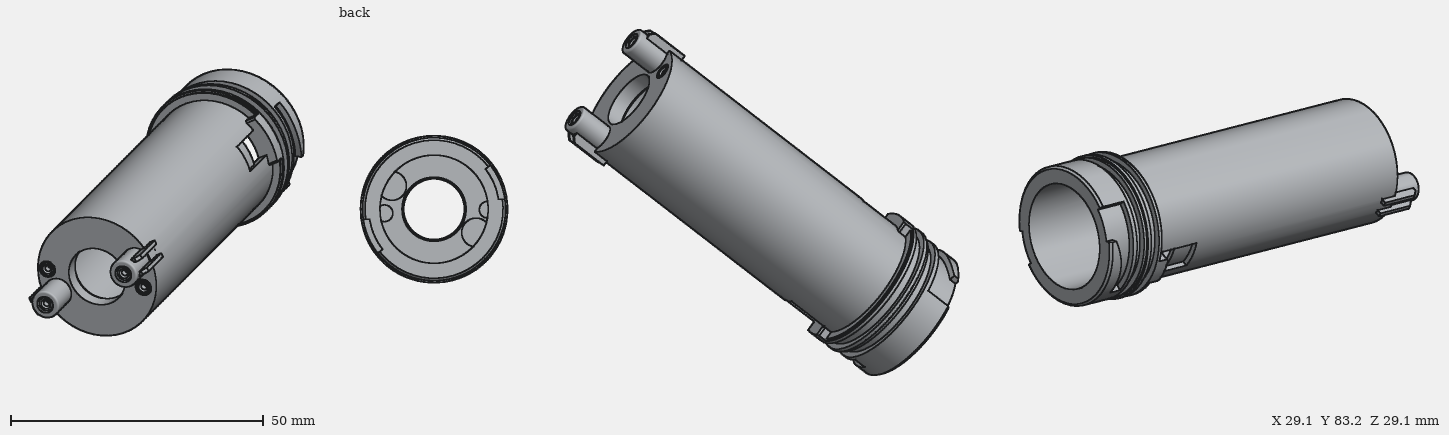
import cadquery as cq
import math


TUBE_RADIUS = 12.6
CAVITY_RADIUS = 10.7
BORE_RADIUS = 6.0
FLANGE_RADIUS = 14.15
RING_RADIUS = 14.55
REAR_GROOVE_RADIUS = 12.9
SEAL_GROOVE_RADIUS = 13.3
CLEAR_RADIUS = RING_RADIUS + 1
REAR_CHAMFER = 0.5

FLANGE_END = 6.8
REAR_GROOVE_END = 8.65
RING_1_START = 9.35
RING_1_END = 10.2
RING_2_START = 12.2
RING_2_END = 12.95
COLLAR_END = 13.3
TUBE_END = 76.2
END_PLATE_THICKNESS = 3.7
PLATE_START = TUBE_END - END_PLATE_THICKNESS
BORE_CHAMFER = 0.35

KEY_ANGLE = 30.0
OPPOSITE_ANGLE = KEY_ANGLE + 180.0

BAYONET_FROM = -38.0
BAYONET_TO = 44.5
BAYONET_END = 5.85
LUG_TIP_Z = -2.0
LUG_TIP_END = 1.5
LUG_RAMP_MIDDLE_Z = 2.8
LUG_RAMP_MIDDLE_END = 2.9
LUG_RAMP_END_Z = 6.9
LUG_END = 3.3

WIDE_KEY_WIDTH = 10.1
NARROW_KEY_WIDTH = 6.0
KEY_END = 15.3
KEY_CHAMFER = 0.4

WIDE_KEY_WINDOW_WIDTH = 5.6
NARROW_KEY_WINDOW_WIDTH = 6.2
WINDOW_STEP = 19.4
WINDOW_END = 24.1
WINDOW_FLOOR_RADIUS = 11.5

PIN_ANGLE = 29.0
PIN_CIRCLE_RADIUS = 9.5
PIN_RADIUS = 2.85
PIN_END = 83.2
PIN_FILLET = 0.4
SOCKET_RADIUS = 1.7
SOCKET_DEPTH = 0.4
SOCKET_CHAMFER = 0.3
RIB_START = PLATE_START + BORE_CHAMFER
RIB_WIDTH = 0.85
RIB_SPACING = 2.9
RIB_OUTER = 13.5
RIB_END = 81.6
RIB_CHAMFER = 1.0

CONTACT_RADIUS = 1.65
CONTACT_CHAMFER = 0.3
CONTACT_CENTRES = [(-10.6, -0.1), (9.8, -0.8)]

HOLE_RADIUS = 0.6
HOLE_DEPTH = 2.0
COUNTERSINK = 0.4
COUNTERSINK_TAPER = 45.0


def at_station(station):
    """Sketch plane across the axis: local x is X, local y is Z, extrusion runs toward -Y."""
    return cq.Workplane("XZ", origin=(0, -station, 0))


def turn(body, angle):
    """Rotate about the housing axis, from +X toward +Z."""
    return body.rotate((0, 0, 0), (0, -1, 0), angle)


def disc(radius, start, end, centre=(0, 0)):
    return at_station(start).center(*centre).circle(radius).extrude(end - start)


def radial_block(inner, outer, width, start, end, offset=0.0):
    """Block that reaches along +X from inner to outer, centred on Z = offset."""
    middle = (inner + outer) / 2
    return at_station(start).center(middle, offset).rect(outer - inner, width).extrude(end - start)


def turned_housing():
    """Hollow turned body; in front of the second ring it stays at ring radius until relieved."""
    steps_after_flange = [
        (REAR_GROOVE_RADIUS, REAR_GROOVE_END),
        (FLANGE_RADIUS, RING_1_START),
        (RING_RADIUS, RING_1_END),
        (SEAL_GROOVE_RADIUS, RING_2_START),
        (RING_RADIUS, TUBE_END),
    ]
    profile = cq.Workplane("XY").moveTo(CAVITY_RADIUS, 0)
    profile = profile.lineTo(FLANGE_RADIUS - REAR_CHAMFER, 0)
    profile = profile.lineTo(FLANGE_RADIUS, -REAR_CHAMFER)
    profile = profile.lineTo(FLANGE_RADIUS, -FLANGE_END)
    start = FLANGE_END
    for radius, end in steps_after_flange:
        profile = profile.lineTo(radius, -start)
        profile = profile.lineTo(radius, -end)
        start = end
    profile = profile.lineTo(BORE_RADIUS, -TUBE_END)
    profile = profile.lineTo(BORE_RADIUS, -PLATE_START - BORE_CHAMFER)
    profile = profile.lineTo(BORE_RADIUS + BORE_CHAMFER, -PLATE_START)
    profile = profile.lineTo(CAVITY_RADIUS, -PLATE_START)
    return profile.close().revolve(360, (0, 0, 0), (0, 1, 0))


def bayonet_recess():
    """Entry slot on the +X side, less the ramped lug that stays standing in it."""
    span = BAYONET_TO - BAYONET_FROM
    sector = (
        cq.Workplane("XY")
        .moveTo(REAR_GROOVE_RADIUS, 0)
        .lineTo(CLEAR_RADIUS, 0)
        .lineTo(CLEAR_RADIUS, -BAYONET_END)
        .lineTo(REAR_GROOVE_RADIUS, -BAYONET_END)
        .close()
        .revolve(span, (0, 0, 0), (0, -1, 0))
    )
    sector = turn(sector, BAYONET_FROM)
    lug = (
        cq.Workplane("YZ")
        .moveTo(0, LUG_TIP_Z)
        .lineTo(-LUG_TIP_END, LUG_TIP_Z)
        .threePointArc((-LUG_RAMP_MIDDLE_END, LUG_RAMP_MIDDLE_Z), (-LUG_END, LUG_RAMP_END_Z))
        .lineTo(-LUG_END, CLEAR_RADIUS)
        .lineTo(0, CLEAR_RADIUS)
        .close()
        .extrude(CLEAR_RADIUS)
    )
    return sector.cut(lug)


def key_block(width, angle):
    """Parallel-sided block, chamfered at its front, that leaves a key standing."""
    block = radial_block(BORE_RADIUS, CLEAR_RADIUS, width, REAR_GROOVE_END, KEY_END)
    block = block.faces("<Y").edges("|X").chamfer(KEY_CHAMFER)
    return turn(block, angle)


def collar_relief():
    """Material turned away around the two keys, down to a lip and then to the tube."""
    relief = (
        cq.Workplane("XY")
        .moveTo(CLEAR_RADIUS, -RING_2_END)
        .lineTo(FLANGE_RADIUS, -RING_2_END)
        .lineTo(FLANGE_RADIUS, -COLLAR_END)
        .lineTo(TUBE_RADIUS, -COLLAR_END)
        .lineTo(TUBE_RADIUS, -TUBE_END)
        .lineTo(CLEAR_RADIUS, -TUBE_END)
        .close()
        .revolve(360, (0, 0, 0), (0, 1, 0))
    )
    relief = relief.cut(key_block(WIDE_KEY_WIDTH, KEY_ANGLE))
    return relief.cut(key_block(NARROW_KEY_WIDTH, OPPOSITE_ANGLE))


def latch_window(width, angle):
    """Opening into the cavity next to the key, followed by a shallow pocket."""
    opening = radial_block(BORE_RADIUS, RING_RADIUS, width, KEY_END, WINDOW_STEP)
    pocket = radial_block(BORE_RADIUS, RING_RADIUS, width, WINDOW_STEP, WINDOW_END)
    pocket = pocket.cut(disc(WINDOW_FLOOR_RADIUS, WINDOW_STEP, WINDOW_END))
    return turn(opening.union(pocket), angle)


def pin_centre(side_angle):
    angle = math.radians(PIN_ANGLE + side_angle)
    return (PIN_CIRCLE_RADIUS * math.cos(angle), PIN_CIRCLE_RADIUS * math.sin(angle))


def pin_blank(side_angle):
    """Pin with its two guide ribs, before the socket is cut."""
    pin = disc(PIN_RADIUS, PLATE_START, PIN_END, pin_centre(side_angle))
    pin = pin.faces("<Y").edges().fillet(PIN_FILLET)
    for offset in (-RIB_SPACING / 2, RIB_SPACING / 2):
        rib = radial_block(PIN_CIRCLE_RADIUS, RIB_OUTER, RIB_WIDTH, RIB_START, RIB_END, offset)
        rib = rib.faces("<Y").edges(">X").chamfer(RIB_CHAMFER)
        pin = pin.union(turn(rib, PIN_ANGLE + side_angle))
    return pin


def countersunk_hole(centre, face_station):
    """Blind hole with a countersunk mouth at the given station."""
    hole = disc(HOLE_RADIUS, face_station - HOLE_DEPTH, face_station, centre)
    mouth = at_station(face_station - COUNTERSINK).center(*centre).circle(HOLE_RADIUS)
    mouth = mouth.extrude(COUNTERSINK, taper=-COUNTERSINK_TAPER)
    return hole.union(mouth)


def contact_pin(side_angle):
    centre = pin_centre(side_angle)
    socket_floor = PIN_END - SOCKET_DEPTH
    socket = disc(SOCKET_RADIUS, socket_floor, PIN_END, centre)
    socket = socket.faces(">Y").chamfer(SOCKET_CHAMFER)
    pin = pin_blank(side_angle).cut(socket)
    return pin.cut(countersunk_hole(centre, socket_floor))


def contact_blank(centre):
    return disc(CONTACT_RADIUS, PLATE_START, TUBE_END, centre)


def small_contact(centre):
    contact = contact_blank(centre).faces("<Y").chamfer(CONTACT_CHAMFER)
    return contact.cut(countersunk_hole(centre, TUBE_END))


housing = turned_housing().cut(collar_relief())
for side in (0, 180):
    housing = housing.cut(turn(bayonet_recess(), side))
for side in (0, 180):
    housing = housing.cut(pin_blank(side))
housing = housing.cut(latch_window(WIDE_KEY_WINDOW_WIDTH, KEY_ANGLE))
housing = housing.cut(latch_window(NARROW_KEY_WINDOW_WIDTH, OPPOSITE_ANGLE))
for centre in CONTACT_CENTRES:
    housing = housing.cut(contact_blank(centre))

pins = [contact_pin(side) for side in (0, 180)]
contacts = [small_contact(centre) for centre in CONTACT_CENTRES]

result = cq.Compound.makeCompound(
    [housing.val(), *[pin.val() for pin in pins], *[contact.val() for contact in contacts]]
)